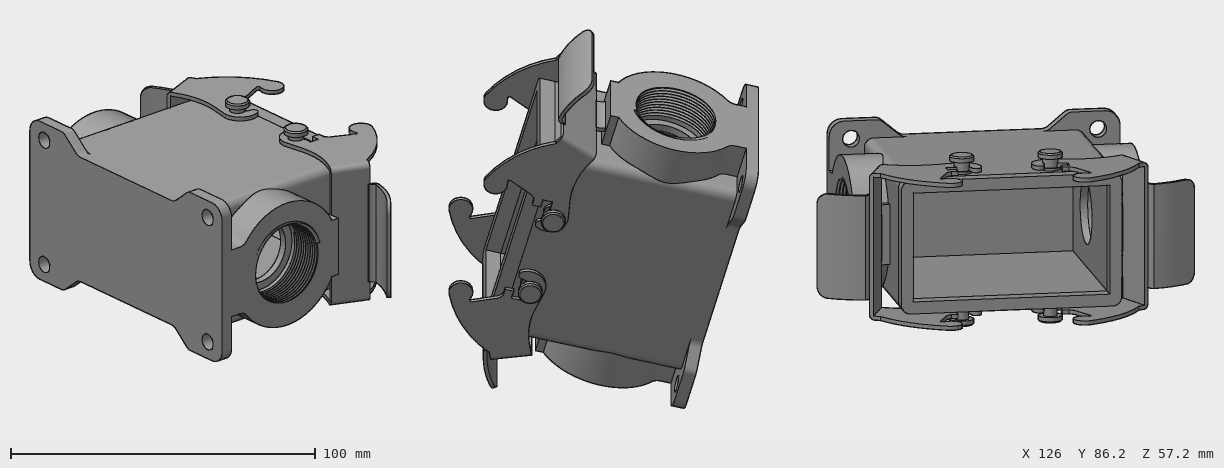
import cadquery as cq
import math


plate_half_length = 48.5
plate_half_width = 28.4
plate_thickness = 4.2
plate_corner_radius = 5.0
waist_outer_x = 31.5
waist_inner_x = 24.2
waist_outer_radius = 3.0
waist_inner_radius = 3.5
mount_hole_diameter = 5.5
mount_hole_x = 41.2
mount_hole_z = 22.3

box_half_length = 36.8
box_half_width = 22.3
box_corner_radius = 3.2
wall_thickness = 4.0
seam_y = 66.0
rim_top_y = 71.1

entry_y = 28.0
entry_radius = 21.9
entry_pad_top_y = 50.2
entry_pad_half_width = 10.1
entry_foot_half_width = 12.0
entry_foot_fillet = 3.8
bore_diameter = 21.5
socket_depth = 13.2
thread_minor_radius = 27.0 / 2
thread_depth = 1.3
thread_pitch = 1.1
thread_turns = 10
thread_flank = 0.48 * thread_pitch
thread_overlap = 0.1
thread_start_angle = 75

pin_x = 14.7
pin_y = 60.7
upper_pin_diameter = 5.0
lower_pin_diameter = 4.5
pin_collar_diameter = 6.5
pin_head_diameter = 8.0
pin_head_thickness = 1.9
pin_head_chamfer = 0.5
pin_reach = 28.5

lever_center_z = -0.3
lever_half_width = 24.7
sheet_thickness = 1.4
bend_radius = 1.9

web_bottom = (-41.5, 53.2)
web_top = (-46.5, 65.7)
cheek_bottom = (-39.6, 53.9)
cheek_shoulder = (-44.9, 66.4)

belly_middle = (-30.2, 57.1)
belly_end = (-22.0, 57.0)
claw_entry = (-15.8, 55.8)

claw_center = (-14.6, 61.9)
claw_radius = 6.2
claw_tip_radius = 1.5
claw_tip_angle = 29
slot_radius = upper_pin_diameter / 2
slot_mouth_angle = 30
slot_left_x = -20.3
slot_floor_y = 62.4

nub_right_x = -17.4
nub_bottom_y = 65.7
nub_top_y = 68.5
throat_start_x = -19.7
throat_middle = (-21.0, 69.5)
throat_end = (-21.9, 71.2)

neck_top = (-25.0, 77.7)
notch_middle = (-25.0, 78.5)
notch_end = (-24.2, 78.6)
hook_center = (-22.4, 82.3)
hook_radius = 3.9
hook_back_angle = 112
back_middle = (-34.0, 79.4)
back_end = (-43.1, 67.3)

handle_half_width = 17.5
handle_corner_radius = 3.9
handle_bend_middle = (-47.1, 67.3)
handle_crest = (-48.1, 67.8)
handle_middle = (-56.7, 64.9)
handle_tip = (-63.0, 60.4)
handle_under_tip = (-62.2, 59.5)
handle_under_middle = (-56.1, 63.8)
handle_under_crest = (-48.3, 66.7)
handle_under_bend = (-47.5, 66.3)
handle_root_outer = (-46.7, 65.0)
handle_root_inner = (-45.4, 65.0)

tab_half_width = 7.5
tab_top = (-41.5, 53.9)
tab_middle = (-41.3, 52.0)
tab_foot = (-41.8, entry_pad_top_y)


def along_y(base_y):
    """Workplane whose local x, y are X, Z and whose extrusion rises along +Y."""
    return cq.Workplane(cq.Plane(origin=(0, base_y, 0), xDir=(1, 0, 0), normal=(0, 1, 0)))


def polar(center, radius, degrees):
    angle = math.radians(degrees)
    return (center[0] + radius * math.cos(angle), center[1] + radius * math.sin(angle))


def nearest(x, y, z):
    return cq.selectors.NearestToPointSelector((x, y, z))


def mounting_plate():
    """Flange with two wide ends and a waist as narrow as the box."""
    corners = [
        (plate_half_length, plate_half_width, plate_corner_radius),
        (waist_outer_x, plate_half_width, waist_outer_radius),
        (waist_inner_x, box_half_width, waist_inner_radius),
    ]
    quarter = [(x, z) for x, z, _ in corners]
    upper_half = quarter + [(-x, z) for x, z in reversed(quarter)]
    outline = upper_half + [(-x, -z) for x, z in upper_half]
    plate = along_y(0).polyline(outline).close().extrude(plate_thickness)
    for x, z, radius in corners:
        for x_side in (-1, 1):
            for z_side in (-1, 1):
                corner = nearest(x_side * x, plate_thickness / 2, z_side * z)
                plate = plate.edges("|Y").edges(corner).fillet(radius)
    return plate


def mounting_holes():
    return (
        along_y(0)
        .rect(2 * mount_hole_x, 2 * mount_hole_z, forConstruction=True)
        .vertices()
        .circle(mount_hole_diameter / 2)
        .extrude(plate_thickness)
    )


def box_block(y0, y1):
    """Outer shape of the box between two heights."""
    block = along_y(y0).rect(2 * box_half_length, 2 * box_half_width).extrude(y1 - y0)
    return block.edges("|Y").fillet(box_corner_radius)


def box_cavity(y0, y1):
    """Inner space of the box between two heights."""
    length = 2 * (box_half_length - wall_thickness)
    width = 2 * (box_half_width - wall_thickness)
    return along_y(y0).rect(length, width).extrude(y1 - y0)


def cable_entry():
    """Boss on the -X side: a barrel with a flat pad above and a filleted foot below."""
    length = plate_half_length - box_half_length + box_corner_radius
    face = cq.Workplane("YZ", origin=(-plate_half_length, 0, 0))
    barrel = face.center(entry_y, 0).circle(entry_radius).extrude(length)

    pad_height = entry_pad_top_y - entry_y
    pad = face.center(entry_y + pad_height / 2, 0).rect(pad_height, 2 * entry_pad_half_width).extrude(length)

    reach = entry_radius + entry_foot_fillet
    fillet_z = entry_foot_half_width + entry_foot_fillet
    fillet_y = entry_y - math.sqrt(reach**2 - fillet_z**2)
    fillet_center = (fillet_y, fillet_z)
    barrel_angle = math.degrees(math.atan2(-fillet_z, entry_y - fillet_y))
    touch = polar(fillet_center, entry_foot_fillet, barrel_angle)
    bow = polar(fillet_center, entry_foot_fillet, (barrel_angle - 90) / 2)
    foot = (
        face.moveTo(0, -entry_foot_half_width)
        .lineTo(fillet_y, -entry_foot_half_width)
        .threePointArc((bow[0], -bow[1]), (touch[0], -touch[1]))
        .lineTo(*touch)
        .threePointArc(bow, (fillet_y, entry_foot_half_width))
        .lineTo(0, entry_foot_half_width)
        .close()
        .extrude(length)
    )
    return barrel.union(pad).union(foot)


def thread_socket():
    """Cutter for the threaded socket in the entry on the -X side."""
    helix = cq.Wire.makeHelix(thread_pitch, thread_turns * thread_pitch, thread_minor_radius, lefthand=True)
    groove = (
        cq.Workplane("XZ")
        .polyline([
            (thread_minor_radius - thread_overlap, -thread_flank),
            (thread_minor_radius - thread_overlap, thread_flank),
            (thread_minor_radius + thread_depth, 0),
        ])
        .close()
        .sweep(cq.Workplane(helix), isFrenet=True)
    )
    groove = groove.rotate((0, 0, 0), (0, 1, 0), 90).rotate((0, 0, 0), (1, 0, 0), thread_start_angle)
    core = cq.Workplane("YZ").circle(thread_minor_radius).extrude(socket_depth)
    return core.union(groove).translate((-plate_half_length, entry_y, 0))


def entry_bore():
    """Plain bore through both entries."""
    face = cq.Workplane("YZ", origin=(-plate_half_length, entry_y, 0))
    return face.circle(bore_diameter / 2).extrude(2 * plate_half_length)


def lever_pin(x, z_side, shaft_diameter):
    """Collar, shaft and chamfered head of a pin, rooted in the box wall."""
    root_z = z_side * (box_half_width - wall_thickness / 2)
    collar_z = lever_center_z + z_side * (lever_half_width - sheet_thickness)
    end_z = lever_center_z + z_side * pin_reach
    head_z = end_z - z_side * pin_head_thickness

    def rod(diameter, z0, z1):
        base = cq.Workplane("XY", origin=(x, pin_y, z0))
        return base.circle(diameter / 2).extrude(z1 - z0)

    end_face = ">Z" if z_side > 0 else "<Z"
    head = rod(pin_head_diameter, head_z, end_z).faces(end_face).edges().chamfer(pin_head_chamfer)
    collar = rod(pin_collar_diameter, root_z, collar_z)
    shaft = rod(shaft_diameter, root_z, head_z)
    return collar.union(shaft).union(head)


def make_housing():
    housing = mounting_plate().union(box_block(0, seam_y))
    for turn in (0, 180):
        housing = housing.union(cable_entry().rotate((0, 0, 0), (0, 1, 0), turn))
    housing = housing.clean().cut(box_cavity(plate_thickness, seam_y))
    for x in (-pin_x, pin_x):
        housing = housing.union(lever_pin(x, 1, upper_pin_diameter))
        housing = housing.union(lever_pin(x, -1, lower_pin_diameter))
    housing = housing.cut(mounting_holes()).cut(entry_bore())
    socket = thread_socket()
    for turn in (0, 180):
        housing = housing.cut(socket.rotate((0, 0, 0), (0, 1, 0), turn))
    return housing


def make_rim():
    """Ring that continues the walls of the box above the seam."""
    return box_block(seam_y, rim_top_y).cut(box_cavity(seam_y, rim_top_y))


def lever_blank():
    """Solid block with the outline of the cheeks, from the web to the claw and the hook."""
    pin_center = (-pin_x, pin_y)
    tip_center = polar(claw_center, claw_radius - claw_tip_radius, claw_tip_angle)
    slot_side_x = -pin_x - math.sqrt(slot_radius**2 - (slot_floor_y - pin_y) ** 2)
    claw_middle_angle = -40
    return (
        cq.Workplane("XY")
        .moveTo(*web_bottom)
        .lineTo(*cheek_bottom)
        .threePointArc(belly_middle, belly_end)
        .lineTo(*claw_entry)
        .threePointArc(
            polar(claw_center, claw_radius, claw_middle_angle),
            polar(claw_center, claw_radius, claw_tip_angle),
        )
        .threePointArc(polar(tip_center, claw_tip_radius, 90), polar(tip_center, claw_tip_radius, 180))
        .lineTo(*polar(pin_center, slot_radius, slot_mouth_angle))
        .threePointArc(polar(pin_center, slot_radius, -90), (slot_side_x, slot_floor_y))
        .lineTo(slot_left_x, slot_floor_y)
        .lineTo(slot_left_x, nub_bottom_y)
        .lineTo(nub_right_x, nub_bottom_y)
        .lineTo(nub_right_x, nub_top_y)
        .lineTo(throat_start_x, nub_top_y)
        .threePointArc(throat_middle, throat_end)
        .lineTo(*neck_top)
        .threePointArc(notch_middle, notch_end)
        .lineTo(*polar(hook_center, hook_radius, -90))
        .threePointArc(
            polar(hook_center, hook_radius, 0),
            polar(hook_center, hook_radius, hook_back_angle),
        )
        .threePointArc(back_middle, back_end)
        .lineTo(*cheek_shoulder)
        .lineTo(*web_top)
        .close()
        .extrude(lever_half_width, both=True)
    )


def space_between_cheeks():
    """Everything on the inner side of the web, between the two cheeks."""
    rise_x = web_top[0] - web_bottom[0]
    rise_y = web_top[1] - web_bottom[1]
    web_length = math.hypot(rise_x, rise_y)
    web_plane = cq.Plane(
        origin=(*web_bottom, 0), xDir=(rise_x / web_length, rise_y / web_length, 0), normal=(0, 0, 1)
    )
    lever_extent = 2 * plate_half_length
    return (
        cq.Workplane(web_plane)
        .center(0, -sheet_thickness - lever_extent / 2)
        .rect(2 * lever_extent, lever_extent)
        .extrude(lever_half_width - sheet_thickness, both=True)
    )


def lever_handle():
    """Curved grip bent outward from the top of the web."""
    handle = (
        cq.Workplane("XY")
        .moveTo(*web_top)
        .threePointArc(handle_bend_middle, handle_crest)
        .threePointArc(handle_middle, handle_tip)
        .lineTo(*handle_under_tip)
        .threePointArc(handle_under_middle, handle_under_crest)
        .threePointArc(handle_under_bend, handle_root_outer)
        .lineTo(*handle_root_inner)
        .close()
        .extrude(handle_half_width, both=True)
    )
    tip_x = (handle_tip[0] + handle_under_tip[0]) / 2
    tip_y = (handle_tip[1] + handle_under_tip[1]) / 2
    for z in (-handle_half_width, handle_half_width):
        handle = handle.edges(nearest(tip_x, tip_y, z)).fillet(handle_corner_radius)
    return handle


def spring_tab():
    """Curved tab from the bottom of the web down to the pad of the cable entry."""

    def inner(point):
        return (point[0] + sheet_thickness, point[1])

    return (
        cq.Workplane("XY")
        .moveTo(*tab_top)
        .threePointArc(tab_middle, tab_foot)
        .lineTo(*inner(tab_foot))
        .threePointArc(inner(tab_middle), inner(tab_top))
        .close()
        .extrude(tab_half_width, both=True)
    )


def make_lever():
    """Lever on the -X side: two cheeks joined by a web, with a handle and a spring tab."""
    lever = lever_blank()
    web_x = (web_top[0] + web_bottom[0]) / 2
    web_y = (web_top[1] + web_bottom[1]) / 2
    for z in (-lever_half_width, lever_half_width):
        lever = lever.edges(nearest(web_x, web_y, z)).fillet(bend_radius)
    lever = lever.cut(space_between_cheeks()).union(lever_handle()).union(spring_tab())
    return lever.translate((0, 0, lever_center_z))


housing = make_housing()
rim = make_rim()
left_lever = make_lever()
levers = [left_lever, left_lever.mirror("YZ")]
result = cq.Compound.makeCompound(
    [*housing.solids().vals(), *rim.solids().vals(), *[lever.solids().val() for lever in levers]]
)